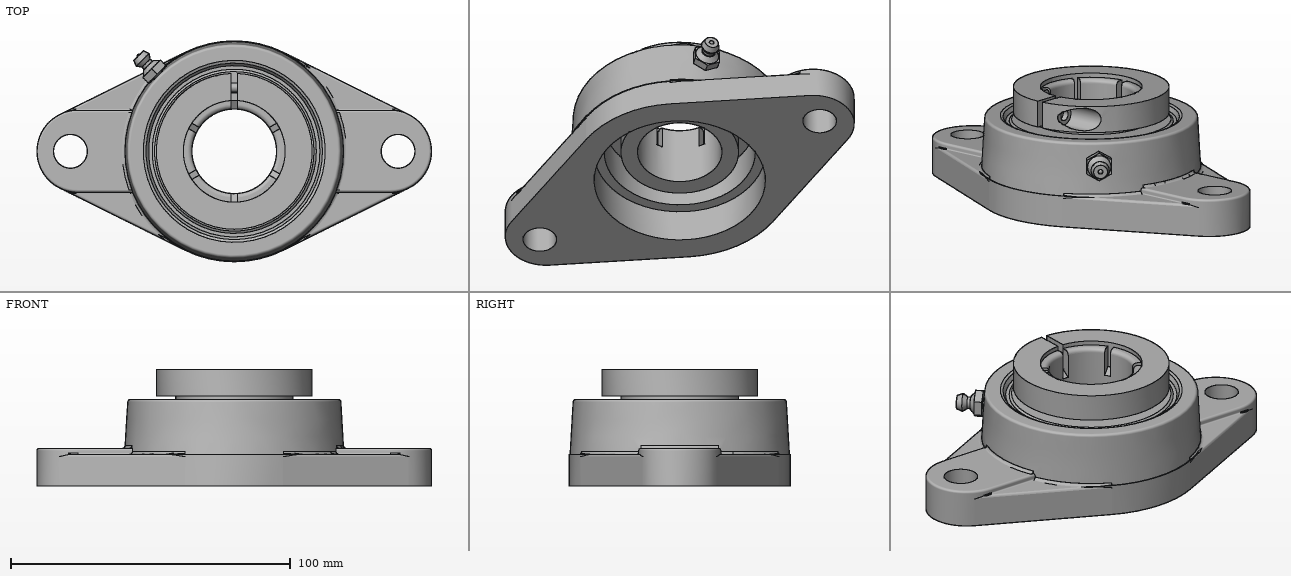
import cadquery as cq
import math

length = 141.0
boss_radius = 39.5
ear_radius = 14.7
bolt_spacing = 117.0
bolt_diameter = 12.0
web_top = 11.4
ear_top = 13.5
edge_round = 0.8
ear_root_round = 0.4
housing_root_round = 1.0

housing_top = 31.0
drum_base_radius = 39.2
drum_top_radius = 38.0
drum_top_round = 1.0
mouth_diameter = 65.0
mouth_chamfer = 0.4

sphere_diameter = 63.0
outer_face_diameter = 61.2
race_top = 29.0
outer_bore = 54.0
seal_outer_diameter = 58.7
seal_crown_diameter = 57.0
seal_bore = 42.5
seal_seat_depth = 1.1
seal_crown_height = 0.5
inner_shoulder_diameter = 42.0
sleeve_diameter = 36.4
shaft_bore = 30.2
sleeve_top = 40.2
sleeve_edge_round = 1.5
slot_count = 6
first_slot_angle = 90.0
slot_width = 2.3
slot_floor_drop = 2.1

collar_diameter = 55.7
collar_bottom = 32.1
collar_top = 41.7
screw_offset = 22.7
screw_shank_diameter = 3.2
screw_head_diameter = 7.0
screw_counterbore = 8.3
screw_socket_diameter = 4.0
screw_head_face = 7.0
screw_head_seat = 3.1
screw_tip = 11.3
socket_depth = 2.3

nipple_angle = 135.0
nipple_height = 23.1
nipple_stem_diameter = 4.0
nipple_stem_start = 33.8
nipple_hex_start = 38.9
nipple_hex_flats = 8.9
nipple_hex_end = 41.7
nipple_cone_diameter = 8.3
nipple_cone_end = 43.4
nipple_cone_end_diameter = 5.0
nipple_neck_diameter = 4.2
nipple_neck_end = 44.5
nipple_head_diameter = 6.5
nipple_head_widest = 46.2
nipple_tip = 48.4
nipple_tip_diameter = 5.0
nipple_ball_diameter = 1.7
nipple_ball_exposed = 0.4

ear_center = length / 2 - ear_radius
sphere_radius = sphere_diameter / 2
race_half_width = math.sqrt(sphere_radius**2 - (outer_face_diameter / 2) ** 2)
race_center = race_top - race_half_width
race_bottom = race_center - race_half_width
nipple_ball_center = nipple_tip + nipple_ball_exposed - nipple_ball_diameter / 2
collar_middle = (collar_bottom + collar_top) / 2


def disc(diameter, bottom, top):
    """Vertical cylinder on the bearing axis."""
    return cq.Workplane("XY").workplane(offset=bottom).circle(diameter / 2).extrude(top - bottom)


def tube(outer, inner, bottom, top):
    """Vertical tube on the bearing axis."""
    return disc(outer, bottom, top).cut(disc(inner, bottom, top))


def revolve_z(profile):
    """Turn a closed outline of radius and height about the Z axis."""
    return profile.close().revolve(360, (0, 0, 0), (0, 1, 0))


def wing_blank(side, height):
    """Flange wing on one side: tangents from the boss circle run out to an ear circle."""
    normal_x = (boss_radius - ear_radius) / ear_center
    normal_y = math.sqrt(1 - normal_x**2)
    boss_x = boss_radius * normal_x
    boss_y = boss_radius * normal_y
    ear_x = ear_center + ear_radius * normal_x
    ear_y = ear_radius * normal_y
    return (
        cq.Workplane("XY")
        .moveTo(side * boss_x, boss_y)
        .lineTo(side * ear_x, ear_y)
        .threePointArc((side * length / 2, 0), (side * ear_x, -ear_y))
        .lineTo(side * boss_x, -boss_y)
        .close()
        .extrude(height)
    )


def make_wing(side):
    """Flange wing with its top edge rounded, except where it meets the boss."""
    inner_edge = "<X" if side > 0 else ">X"
    return wing_blank(side, web_top).faces(">Z").edges(f"not {inner_edge}").fillet(edge_round)


def ear_bar():
    """Raised bar that carries both ears, with a rounded top edge."""
    bar = cq.Workplane("XY").slot2D(length, 2 * ear_radius).extrude(ear_top)
    return bar.faces(">Z").edges().fillet(edge_round)


def concave_bulge(radius):
    """Distance from either flat of a right-angled corner to the middle of its round."""
    return radius * (1 - math.sqrt(0.5))


def ear_root(side):
    """Concave round along the foot of one long side of the ear bar."""
    wall = side * ear_radius
    bulge = concave_bulge(ear_root_round)
    return (
        cq.Workplane("YZ")
        .workplane(offset=-length / 2)
        .moveTo(wall, web_top)
        .lineTo(wall + side * ear_root_round, web_top)
        .threePointArc((wall + side * bulge, web_top + bulge), (wall, web_top + ear_root_round))
        .close()
        .extrude(length)
    )


def drum_radius(height):
    """Outer radius of the tapered drum at a height above the mounting face."""
    taper = (drum_base_radius - drum_top_radius) / (housing_top - web_top)
    return drum_base_radius - taper * (height - web_top)


def drum_root(height):
    """Concave round where the drum rises from a flat at the given height."""
    wall = drum_radius(height)
    bulge = concave_bulge(housing_root_round)
    return revolve_z(
        cq.Workplane("XZ")
        .moveTo(sphere_radius, height)
        .lineTo(wall + housing_root_round, height)
        .threePointArc((wall + bulge, height + bulge), (wall, height + housing_root_round))
        .lineTo(sphere_radius, height + housing_root_round)
    )


def drum():
    """Tapered drum on the boss, with a rounded top edge."""
    body = revolve_z(
        cq.Workplane("XZ")
        .lineTo(boss_radius, 0)
        .lineTo(boss_radius, web_top)
        .lineTo(drum_base_radius, web_top)
        .lineTo(drum_top_radius, housing_top)
        .lineTo(0, housing_top)
    )
    return body.faces(">Z").edges().fillet(drum_top_round)


def bearing_seat():
    """Space inside the housing: flared mouth, spherical seat and straight lower bore."""
    face_radius = outer_face_diameter / 2
    return revolve_z(
        cq.Workplane("XZ")
        .lineTo(face_radius, 0)
        .lineTo(face_radius, race_bottom)
        .threePointArc((sphere_radius, race_center), (face_radius, race_top))
        .lineTo(sphere_radius, housing_top - mouth_chamfer)
        .lineTo(mouth_diameter / 2, housing_top)
        .lineTo(0, housing_top)
    )


def make_housing():
    """Two-bolt flange housing: drum, ears, wings and their root rounds, bored for the insert."""
    body = drum().union(ear_bar())
    ear_flat = cq.Workplane("XY").rect(length, 2 * (ear_radius - edge_round)).extrude(housing_top)
    for side in (-1, 1):
        body = body.union(make_wing(side))
    for side in (-1, 1):
        tall_wing = wing_blank(side, ear_top)
        body = body.union(drum_root(web_top).intersect(tall_wing))
        for edge_side in (-1, 1):
            body = body.union(ear_root(edge_side).intersect(tall_wing))
    body = body.union(drum_root(ear_top).intersect(ear_flat))
    bolt_holes = (
        cq.Workplane("XY")
        .pushPoints([(-bolt_spacing / 2, 0), (bolt_spacing / 2, 0)])
        .circle(bolt_diameter / 2)
        .extrude(ear_top)
    )
    stem_hole = nipple_cylinder(nipple_stem_diameter, nipple_stem_start, nipple_hex_start)
    return body.cut(bearing_seat()).cut(bolt_holes).cut(stem_hole)


def make_outer_ring():
    """Ring with a spherical outside and a recess for the seal."""
    face_radius = outer_face_diameter / 2
    seat_z = race_top - seal_seat_depth
    return revolve_z(
        cq.Workplane("XZ")
        .moveTo(outer_bore / 2, race_bottom)
        .lineTo(face_radius, race_bottom)
        .threePointArc((sphere_radius, race_center), (face_radius, race_top))
        .lineTo(seal_outer_diameter / 2, race_top)
        .lineTo(seal_outer_diameter / 2, seat_z)
        .lineTo(outer_bore / 2, seat_z)
    )


def make_seal():
    """Flat seal disc with a bevelled, slightly raised crown."""
    seat_z = race_top - seal_seat_depth
    return revolve_z(
        cq.Workplane("XZ")
        .moveTo(seal_bore / 2, seat_z)
        .lineTo(seal_outer_diameter / 2, seat_z)
        .lineTo(seal_outer_diameter / 2, race_top)
        .lineTo(seal_crown_diameter / 2, race_top + seal_crown_height)
        .lineTo(seal_bore / 2, race_top + seal_crown_height)
    )


def sleeve_slot(angle):
    """Radial slot through the sleeve wall, its floor sloping down towards the bore."""
    inside = shaft_bore / 2
    outside = sleeve_diameter / 2
    floor_slope = slot_floor_drop / (outside - inside)
    start = inside - sleeve_edge_round
    return (
        cq.Workplane("XZ")
        .workplane(offset=-slot_width / 2)
        .moveTo(start, collar_bottom - floor_slope * (outside - start))
        .lineTo(outside, collar_bottom)
        .lineTo(outside + sleeve_edge_round, collar_bottom)
        .lineTo(outside + sleeve_edge_round, collar_top)
        .lineTo(start, collar_top)
        .close()
        .extrude(slot_width)
        .rotate((0, 0, 0), (0, 0, 1), angle)
    )


def make_inner_ring():
    """Inner ring with a slotted sleeve that the collar clamps on the shaft."""
    ring = disc(inner_shoulder_diameter, race_bottom, collar_bottom)
    ring = ring.union(disc(sleeve_diameter, collar_bottom, sleeve_top))
    ring = ring.cut(disc(shaft_bore, race_bottom, sleeve_top))
    ring = ring.faces(">Z").edges(cq.selectors.RadiusNthSelector(0)).fillet(sleeve_edge_round)
    for index in range(slot_count):
        ring = ring.cut(sleeve_slot(first_slot_angle + index * 360 / slot_count))
    return ring


def screw_cylinder(diameter, x_start, x_end):
    """Cylinder along the clamping screw axis."""
    return (
        cq.Workplane("YZ", origin=(x_start, screw_offset, collar_middle))
        .circle(diameter / 2)
        .extrude(x_end - x_start)
    )


def make_collar():
    """Split collar with a counterbored hole for its clamping screw."""
    collar = tube(collar_diameter, sleeve_diameter, collar_bottom, collar_top)
    split = (
        cq.Workplane("XY", origin=(0, collar_diameter / 2, collar_bottom))
        .rect(slot_width, collar_diameter)
        .extrude(collar_top - collar_bottom)
    )
    counterbore = screw_cylinder(screw_counterbore, -collar_diameter / 2, -screw_head_seat)
    shank_hole = screw_cylinder(screw_shank_diameter, -screw_head_seat, screw_tip)
    return collar.cut(split).cut(counterbore).cut(shank_hole)


def make_screw():
    """Socket-head clamping screw."""
    head = screw_cylinder(screw_head_diameter, -screw_head_face, -screw_head_seat)
    shank = screw_cylinder(screw_shank_diameter, -screw_head_seat, screw_tip)
    socket = (
        cq.Workplane("YZ", origin=(-screw_head_face, screw_offset, collar_middle))
        .circle(screw_socket_diameter / 2)
        .extrude(socket_depth)
    )
    return head.union(shank).cut(socket)


def place_nipple(shape):
    """Move a shape modelled along +X from the bearing axis onto the nipple axis."""
    return shape.rotate((0, 0, 0), (0, 0, 1), nipple_angle).translate((0, 0, nipple_height))


def nipple_cylinder(diameter, start, end):
    """Cylinder along the nipple axis between two distances from the bearing axis."""
    rod = cq.Workplane("YZ").workplane(offset=start).circle(diameter / 2).extrude(end - start)
    return place_nipple(rod)


def make_nipple_ball():
    """Ball that closes the mouth of the grease nipple."""
    ball = cq.Workplane("XY", origin=(nipple_ball_center, 0, 0)).sphere(nipple_ball_diameter / 2)
    return place_nipple(ball)


def make_nipple():
    """Grease nipple: stem, hexagon, cone, neck and rounded head with a ball seat."""
    hexagon = (
        cq.Workplane("YZ")
        .workplane(offset=nipple_hex_start)
        .polygon(6, nipple_hex_flats, circumscribed=True)
        .extrude(nipple_hex_end - nipple_hex_start)
    )
    turned = (
        cq.Workplane("XY")
        .moveTo(nipple_hex_end, 0)
        .lineTo(nipple_hex_end, nipple_cone_diameter / 2)
        .lineTo(nipple_cone_end, nipple_cone_end_diameter / 2)
        .lineTo(nipple_cone_end, nipple_neck_diameter / 2)
        .lineTo(nipple_neck_end, nipple_neck_diameter / 2)
        .lineTo(nipple_head_widest, nipple_head_diameter / 2)
        .lineTo(nipple_tip, nipple_tip_diameter / 2)
        .lineTo(nipple_tip, 0)
        .close()
        .revolve(360, (0, 0, 0), (1, 0, 0))
    )
    stem = nipple_cylinder(nipple_stem_diameter, nipple_stem_start, nipple_hex_start)
    ball_seat = nipple_cylinder(nipple_ball_diameter, nipple_ball_center, nipple_tip)
    body = place_nipple(hexagon.union(turned)).union(stem)
    return body.cut(ball_seat).cut(make_nipple_ball())


housing = make_housing()
outer_ring = make_outer_ring()
seal = make_seal()
inner_ring = make_inner_ring()
collar = make_collar()
screw = make_screw()
nipple = make_nipple()
nipple_ball = make_nipple_ball()

bodies = [housing, outer_ring, seal, inner_ring, collar, screw, nipple, nipple_ball]
result = cq.Compound.makeCompound([body.solids().val() for body in bodies])